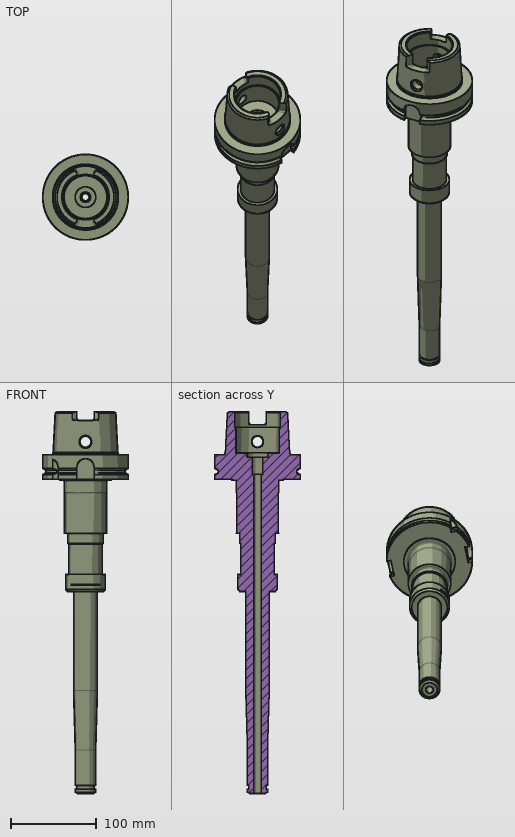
import cadquery as cq
import math


SHANK_LENGTH = 50.0
SHANK_BASE_DIA = 75.8
TAPER_RATIO = 10.0
SHANK_TIP_DIA = SHANK_BASE_DIA - SHANK_LENGTH / TAPER_RATIO
TIP_CHAMFER_HEIGHT = 1.7
TIP_CHAMFER_WIDTH = 2.2
BASE_COLLAR_DIA = 77.0
BASE_COLLAR_HEIGHT = 2.6

MOUTH_DIA = 53.0
MOUTH_DEPTH = 18.0
MOUTH_CHAMFER = 1.2
INNER_BORE_DIA = 50.0
INNER_BORE_FLOOR_Z = 2.0
COUNTERBORE_DIA = 24.0
COUNTERBORE_DEPTH = 5.0
STEP_HOLE_DIA = 12.0
STEP_HOLE_DEPTH = 20.0
THROUGH_HOLE_DIA = 8.5

DRIVE_SLOT_WIDTH = 20.0
FRONT_SLOT_DEPTH = 10.0
REAR_SLOT_DEPTH = 15.0
DRIVE_SLOT_CORNER_RADIUS = 5.2
DRIVE_SLOT_CORNER_Y = 26.5
DRIVE_SLOT_FLOOR_FILLET = 2.0

CROSS_HOLE_DIA = 13.0
CROSS_HOLE_Z = 15.0
COUNTERSINK_DIA = 15.0
COUNTERSINK_DEPTH = 2.5

FLANGE_DIA = 100.0
FLANGE_THICKNESS = 29.0
GROOVE_CENTRE_Z = -19.8
GROOVE_MOUTH_WIDTH = 7.5
GROOVE_FLOOR_DIA = 92.5
GROOVE_FLOOR_WIDTH = 3.2
GROOVE_FLOOR_FILLET = 0.6

RIM_SLOT_WIDTH = 20.0
RIM_SLOT_TOP_Z = -4.8
RIM_SLOT_FLOOR = 44.0
CORNER_NOTCH_FLOOR = 32.0

HUB_DIA = 60.0
HUB_END_Z = -30.0
UPPER_NECK_DIA = 49.5
UPPER_NECK_END_Z = -92.0
NECK_LAND_DIA = 50.0
NECK_LAND_END_Z = -43.7
NECK_LAND_CHAMFER_HEIGHT = 1.0
NECK_CORNER_FILLET = 1.0
MIDDLE_NECK_DIA = 41.6
MIDDLE_NECK_END_Z = -104.5
NECK_STEP_CHAMFER = 1.3
LOWER_NECK_DIA = 39.5

COLLAR_DIA = 46.5
COLLAR_TOP_Z = -139.7
COLLAR_BOTTOM_Z = -160.0
COLLAR_CHAMFER = 2.6
COLLAR_SLIT_Z = -152.0
COLLAR_SLIT_HEIGHT = 1.3
COLLAR_SLIT_FLOOR = 16.5

SHAFT_DIA = 28.0
SHAFT_TAPER_TOP_Z = -275.0
SHAFT_TAPER_BOTTOM_Z = -344.5
SHAFT_TIP_DIA = 24.0
SHAFT_END_Z = -395.5
SHAFT_END_CHAMFER_HEIGHT = 1.8
SHAFT_END_CHAMFER_WIDTH = 3.0
RING_GROOVE_TOP_Z = -386.0
RING_GROOVE_BOTTOM_Z = -390.5
RING_GROOVE_DIA = 20.5
RING_GROOVE_FILLET = 1.2


def cylinder(dia, top_z, bottom_z):
    return cq.Workplane("XY").workplane(offset=bottom_z).circle(dia / 2).extrude(top_z - bottom_z)


def revolve_profile(points):
    """Solid of revolution about Z from (radius, z) points."""
    return cq.Workplane("XZ").polyline(points).close().revolve(360, (0, 0, 0), (0, 1, 0))


def fillet_circles(body, radius, heights, fillet):
    """Round the circular edges of a turned body that have the given radius and heights."""

    def is_wanted(edge):
        if edge.geomType() != "CIRCLE":
            return False
        height = edge.Center().z
        return math.isclose(edge.radius(), radius) and any(math.isclose(height, z) for z in heights)

    return body.edges().filter(is_wanted).fillet(fillet)


def shank():
    tip_radius = SHANK_TIP_DIA / 2
    chamfer_z = SHANK_LENGTH - TIP_CHAMFER_HEIGHT
    chamfer_radius = tip_radius + TIP_CHAMFER_HEIGHT / TAPER_RATIO / 2
    collar_radius = BASE_COLLAR_DIA / 2
    collar_edge_z = BASE_COLLAR_HEIGHT / 2
    taper_end_radius = (SHANK_BASE_DIA - BASE_COLLAR_HEIGHT / TAPER_RATIO) / 2
    return revolve_profile([
        (0, 0),
        (collar_radius, 0),
        (collar_radius, collar_edge_z),
        (taper_end_radius, BASE_COLLAR_HEIGHT),
        (chamfer_radius, chamfer_z),
        (tip_radius - TIP_CHAMFER_WIDTH, SHANK_LENGTH),
        (0, SHANK_LENGTH),
    ])


def flange():
    radius = FLANGE_DIA / 2
    half_mouth = GROOVE_MOUTH_WIDTH / 2
    half_floor = GROOVE_FLOOR_WIDTH / 2
    floor_radius = GROOVE_FLOOR_DIA / 2
    body = revolve_profile([
        (0, 0),
        (radius, 0),
        (radius, GROOVE_CENTRE_Z + half_mouth),
        (floor_radius, GROOVE_CENTRE_Z + half_floor),
        (floor_radius, GROOVE_CENTRE_Z - half_floor),
        (radius, GROOVE_CENTRE_Z - half_mouth),
        (radius, -FLANGE_THICKNESS),
        (0, -FLANGE_THICKNESS),
    ])
    floor_edges = (GROOVE_CENTRE_Z + half_floor, GROOVE_CENTRE_Z - half_floor)
    return fillet_circles(body, floor_radius, floor_edges, GROOVE_FLOOR_FILLET)


def neck():
    upper = UPPER_NECK_DIA / 2
    land = NECK_LAND_DIA / 2
    middle = MIDDLE_NECK_DIA / 2
    lower = LOWER_NECK_DIA / 2
    body = revolve_profile([
        (0, -FLANGE_THICKNESS),
        (HUB_DIA / 2, -FLANGE_THICKNESS),
        (HUB_DIA / 2, HUB_END_Z),
        (land, HUB_END_Z),
        (land, NECK_LAND_END_Z),
        (upper, NECK_LAND_END_Z - NECK_LAND_CHAMFER_HEIGHT),
        (upper, UPPER_NECK_END_Z),
        (middle, UPPER_NECK_END_Z),
        (middle, MIDDLE_NECK_END_Z + NECK_STEP_CHAMFER),
        (lower, MIDDLE_NECK_END_Z),
        (lower, COLLAR_TOP_Z),
        (0, COLLAR_TOP_Z),
    ])
    body = fillet_circles(body, land, [HUB_END_Z], NECK_CORNER_FILLET)
    return fillet_circles(body, middle, [UPPER_NECK_END_Z], NECK_CORNER_FILLET)


def collar():
    body = cylinder(COLLAR_DIA, COLLAR_TOP_Z, COLLAR_BOTTOM_Z).faces("<Z").chamfer(COLLAR_CHAMFER)
    slit_depth = COLLAR_DIA / 2 - COLLAR_SLIT_FLOOR
    slit = cq.Workplane("XY").box(
        COLLAR_DIA, slit_depth, COLLAR_SLIT_HEIGHT, centered=(True, False, True)
    ).translate((0, -COLLAR_DIA / 2, COLLAR_SLIT_Z))
    return body.cut(slit)


def shaft():
    radius = SHAFT_DIA / 2
    tip = SHAFT_TIP_DIA / 2
    ring = RING_GROOVE_DIA / 2
    body = revolve_profile([
        (0, COLLAR_BOTTOM_Z),
        (radius, COLLAR_BOTTOM_Z),
        (radius, SHAFT_TAPER_TOP_Z),
        (tip, SHAFT_TAPER_BOTTOM_Z),
        (tip, RING_GROOVE_TOP_Z),
        (ring, RING_GROOVE_TOP_Z),
        (ring, RING_GROOVE_BOTTOM_Z),
        (tip, RING_GROOVE_BOTTOM_Z),
        (tip, SHAFT_END_Z + SHAFT_END_CHAMFER_HEIGHT),
        (tip - SHAFT_END_CHAMFER_WIDTH, SHAFT_END_Z),
        (0, SHAFT_END_Z),
    ])
    ring_edges = (RING_GROOVE_TOP_Z, RING_GROOVE_BOTTOM_Z)
    return fillet_circles(body, ring, ring_edges, RING_GROOVE_FILLET)


def bore():
    """Stepped bore from the shank mouth, running out as a through hole."""
    mouth = cylinder(MOUTH_DIA, SHANK_LENGTH, SHANK_LENGTH - MOUTH_DEPTH)
    mouth_edge = revolve_profile([
        (0, SHANK_LENGTH),
        (MOUTH_DIA / 2 + MOUTH_CHAMFER, SHANK_LENGTH),
        (MOUTH_DIA / 2, SHANK_LENGTH - MOUTH_CHAMFER),
        (0, SHANK_LENGTH - MOUTH_CHAMFER),
    ])
    inner = cylinder(INNER_BORE_DIA, SHANK_LENGTH, INNER_BORE_FLOOR_Z)
    counterbore_z = INNER_BORE_FLOOR_Z - COUNTERBORE_DEPTH
    counterbore = cylinder(COUNTERBORE_DIA, SHANK_LENGTH, counterbore_z)
    step_hole = cylinder(STEP_HOLE_DIA, SHANK_LENGTH, counterbore_z - STEP_HOLE_DEPTH)
    through = cylinder(THROUGH_HOLE_DIA, SHANK_LENGTH, SHAFT_END_Z)
    return mouth.union(mouth_edge).union(inner).union(counterbore).union(step_hole).union(through)


def drive_slot(depth):
    """Slot through the -Y wall of the shank, its side walls rounded off towards the outside."""
    half = DRIVE_SLOT_WIDTH / 2
    radius = DRIVE_SLOT_CORNER_RADIUS
    start_y = -DRIVE_SLOT_CORNER_Y
    end_y = start_y - radius
    mid = radius * (1 - math.sqrt(0.5))
    mid_y = start_y - radius * math.sqrt(0.5)
    outer_y = -SHANK_BASE_DIA
    cutter = (
        cq.Workplane("XY")
        .workplane(offset=SHANK_LENGTH - depth)
        .moveTo(-half, 0)
        .lineTo(-half, start_y)
        .threePointArc((-half - mid, mid_y), (-half - radius, end_y))
        .lineTo(-half - radius, outer_y)
        .lineTo(half + radius, outer_y)
        .lineTo(half + radius, end_y)
        .threePointArc((half + mid, mid_y), (half, start_y))
        .lineTo(half, 0)
        .close()
        .extrude(depth)
    )
    wall_feet = cutter.faces("<Z").edges("%CIRCLE or |Y")
    return wall_feet.fillet(DRIVE_SLOT_FLOOR_FILLET)


def cross_hole():
    """Hole through the -Y wall of the shank, countersunk on the outside."""
    surface_y = (SHANK_BASE_DIA - CROSS_HOLE_Z / TAPER_RATIO) / 2
    hole = (
        cq.Workplane("XZ")
        .center(0, CROSS_HOLE_Z)
        .circle(CROSS_HOLE_DIA / 2)
        .extrude(SHANK_BASE_DIA / 2)
    )
    countersink = (
        cq.Workplane("XZ", origin=(0, -surface_y, CROSS_HOLE_Z))
        .circle(COUNTERSINK_DIA / 2)
        .workplane(offset=-COUNTERSINK_DEPTH)
        .circle(CROSS_HOLE_DIA / 2)
        .loft()
    )
    clearance = (
        cq.Workplane("XZ", origin=(0, -surface_y, CROSS_HOLE_Z))
        .circle(COUNTERSINK_DIA / 2)
        .extrude(COUNTERSINK_DEPTH)
    )
    return hole.union(countersink).union(clearance)


def rim_slot(centre_x, floor):
    """Round-topped slot cut into the -Y side of the flange, open at the bottom."""
    radius = RIM_SLOT_WIDTH / 2
    arc_z = RIM_SLOT_TOP_Z - radius
    return (
        cq.Workplane("XZ", origin=(0, -floor, 0))
        .moveTo(centre_x - radius, -FLANGE_THICKNESS)
        .lineTo(centre_x - radius, arc_z)
        .threePointArc((centre_x, RIM_SLOT_TOP_Z), (centre_x + radius, arc_z))
        .lineTo(centre_x + radius, -FLANGE_THICKNESS)
        .close()
        .extrude(FLANGE_DIA / 2)
    )


def half_turn(shape):
    """The shape turned to the opposite side of the Z axis."""
    return shape.rotate((0, 0, 0), (0, 0, 1), 180)


result = shank().union(flange()).union(neck()).union(collar()).union(shaft())
result = result.cut(bore())
result = result.cut(drive_slot(FRONT_SLOT_DEPTH)).cut(half_turn(drive_slot(REAR_SLOT_DEPTH)))
for cutter in (cross_hole(), rim_slot(0, RIM_SLOT_FLOOR)):
    result = result.cut(cutter).cut(half_turn(cutter))
corner_notch = rim_slot(-CORNER_NOTCH_FLOOR - RIM_SLOT_WIDTH / 2, CORNER_NOTCH_FLOOR)
result = result.cut(corner_notch)